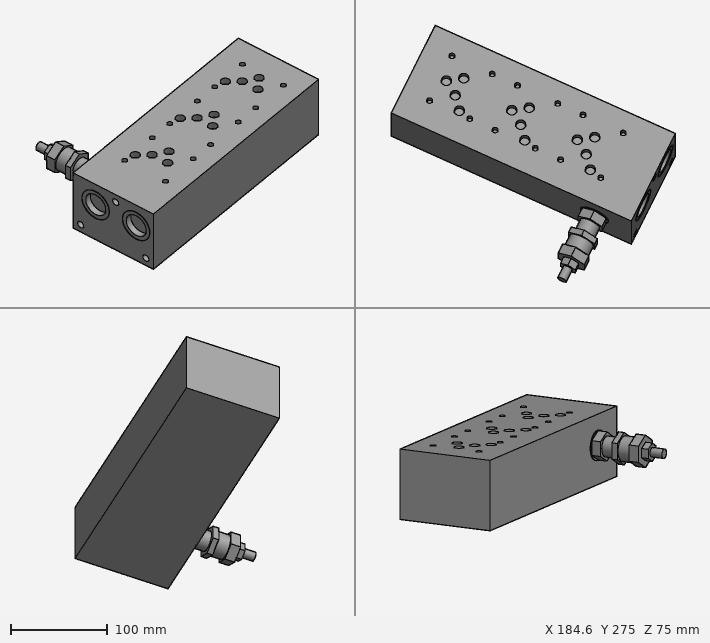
import cadquery as cq
import math

BLOCK_X = 106.0
BLOCK_Y = 275.0
BLOCK_Z = 75.0
CORE_INSET = 8.0

STATION_COUNT = 3
STATION_PITCH = 75.0
STATION_ORIGIN_X = 29.25
STATION_BACK_MARGIN = 30.1
BOLT_SPAN_X = 54.0
BOLT_SPAN_Y = 46.0
BOLT_DIAMETER = 6.0
PORT_DIAMETER = 10.5
VALVE_PORTS = {
    "P": (BOLT_SPAN_X / 2, 6.3),
    "A": (16.7, 21.4),
    "B": (37.3, 21.4),
    "T": (3.2, 32.5),
}

MAIN_PORT_COUNT = 2
MAIN_PORT_FIRST_X = 29.5
MAIN_PORT_SPACING = 53.5
MAIN_PORT_DROP = 28.0
MAIN_PORT_DIAMETER = 26.44
SPOT_FACE_DIAMETER = 36.0
SPOT_FACE_DEPTH = 0.5

MOUNT_DIAMETER = 8.0
MOUNT_DEPTH = 20.0
MOUNT_POINT_ANGLE = 140.0
MOUNT_EDGE = 10.0
MOUNT_TOP_X = STATION_ORIGIN_X + BOLT_SPAN_X / 2

CARTRIDGE_Y = 42.0
CARTRIDGE_DROP = 33.0
CARTRIDGE_REACH = 78.55
CARTRIDGE_SECTIONS = [
    ("round", 32.0, 0.8),
    ("hex", 27.1, 11.0),
    ("round", 22.1, 25.0),
    ("hex", 30.0, 31.5),
    ("round", 27.1, 45.5),
    ("hex", 30.0, 56.5),
    ("hex", 17.0, 64.5),
    ("round", 10.1, CARTRIDGE_REACH),
]


def top_holes(block, points, diameter):
    """Holes drilled from the top face down to the core."""
    plane = cq.Workplane("XY", origin=(0, 0, BLOCK_Z))
    return block.cut(plane.pushPoints(points).circle(diameter / 2).extrude(-CORE_INSET))


def front_holes(block, points, diameter, depth):
    """Flat-bottomed holes drilled back from the front face, at (x, z) points."""
    plane = cq.Workplane("XZ")
    return block.cut(plane.pushPoints(points).circle(diameter / 2).extrude(-depth))


def drill_stations(block):
    """Bolt holes and valve ports of every valve station."""
    bolts = []
    ports = []
    for index in range(STATION_COUNT):
        back_y = BLOCK_Y - STATION_BACK_MARGIN - index * STATION_PITCH
        for right in (0, BOLT_SPAN_X):
            for forward in (0, BOLT_SPAN_Y):
                bolts.append((STATION_ORIGIN_X + right, back_y - forward))
        for right, forward in VALVE_PORTS.values():
            ports.append((STATION_ORIGIN_X + right, back_y - forward))
    block = top_holes(block, bolts, BOLT_DIAMETER)
    return top_holes(block, ports, PORT_DIAMETER)


def drill_main_ports(block):
    """Main ports, down to the core, with shallow spot faces."""
    port_z = BLOCK_Z - MAIN_PORT_DROP
    ports = []
    for index in range(MAIN_PORT_COUNT):
        ports.append((MAIN_PORT_FIRST_X + index * MAIN_PORT_SPACING, port_z))
    block = front_holes(block, ports, SPOT_FACE_DIAMETER, SPOT_FACE_DEPTH)
    return front_holes(block, ports, MAIN_PORT_DIAMETER, CORE_INSET)


def make_core():
    """Undrilled box in the middle of the block."""
    inset = CORE_INSET
    core = cq.Workplane("XY").box(
        BLOCK_X - 2 * inset, BLOCK_Y - 2 * inset, BLOCK_Z - 2 * inset, centered=False
    )
    return core.translate((inset, inset, inset))


def drill_mounts(block):
    """Mounting holes with a drill point, cut only outside the core."""
    radius = MOUNT_DIAMETER / 2
    point_length = radius / math.tan(math.radians(MOUNT_POINT_ANGLE / 2))
    half_profile = [
        (0, 0),
        (radius, 0),
        (radius, MOUNT_DEPTH),
        (0, MOUNT_DEPTH + point_length),
    ]
    drill = cq.Workplane("XY").polyline(half_profile).close().revolve(360, (0, 0), (0, 1))
    core = make_core()
    mounts = [
        (MOUNT_EDGE, MOUNT_EDGE),
        (BLOCK_X - MOUNT_EDGE, MOUNT_EDGE),
        (MOUNT_TOP_X, BLOCK_Z - MOUNT_EDGE),
    ]
    for x, z in mounts:
        block = block.cut(drill.translate((x, 0, z)).cut(core))
    return block


def hexagon_points(across_flats):
    """Corners of a hexagon with one corner straight up."""
    radius = across_flats / math.sqrt(3)
    angles = [math.radians(90 + 60 * corner) for corner in range(6)]
    return [(radius * math.cos(angle), radius * math.sin(angle)) for angle in angles]


def make_cartridge():
    """Stack of round and hexagonal sections growing outward along -X."""
    cartridge = cq.Workplane("XY")
    start = 0.0
    for shape, size, end in CARTRIDGE_SECTIONS:
        origin = (-start, CARTRIDGE_Y, BLOCK_Z - CARTRIDGE_DROP)
        plane = cq.Workplane("YZ", origin=origin)
        if shape == "hex":
            profile = plane.polyline(hexagon_points(size)).close()
        else:
            profile = plane.circle(size / 2)
        cartridge = cartridge.union(profile.extrude(start - end))
        start = end
    return cartridge


block = cq.Workplane("XY").box(BLOCK_X, BLOCK_Y, BLOCK_Z, centered=False)
block = drill_stations(block)
block = drill_main_ports(block)
block = drill_mounts(block)
result = block.union(make_cartridge())